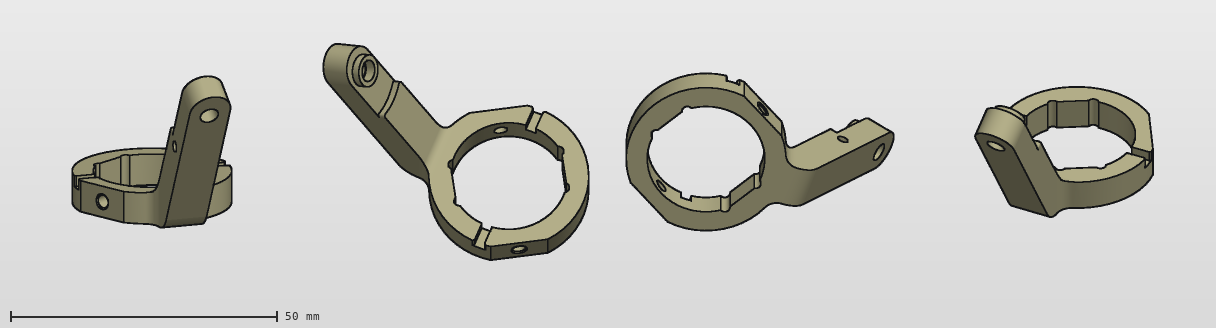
import cadquery as cq
import math

ring_diameter = 30.0
ring_radius = ring_diameter / 2
bore_radius = 11.0
ring_height = 6.1
outer_flat_distance = 14.0
outer_flat_angles = (120, 300)
bore_flat_distance = 10.5
bore_flat_angles = (30, 210)
relief_radius = 1.0
relief_distance = 9.95
relief_spacing = 7.6
slot_width = 2.05
slot_depth = 2.05
slot_mouth_chamfer = 0.3
screw_diameter = 2.5
screw_mouth_diameter = 3.0

arm_angle = 60
arm_width = 8.0
arm_root_thickness = 6.95
arm_tip_thickness = 5.5
side_fillet = 3.0
fold_fillet = 2.6
heel_fillet = 5.0
total_height = 33.45
total_length = 51.95

boss_diameter = 6.05
boss_height = 1.5
eye_from_tip = 5.0
counterbore_diameter = 4.0
counterbore_depth = 2.05
eye_diameter = 3.5
step_radius = 10.3
shoulder_corner_radius = 0.5
pin_diameter = 2.05
pin_depth = 2.05
pin_x = 25.85
pin_z = 18.35

lean = math.radians(arm_angle)
half_width = arm_width / 2
tip_x = total_length - ring_radius
tip_z = total_height - arm_tip_thickness * math.cos(lean)
heel_x = tip_x - tip_z / math.tan(lean)
fold_x = heel_x + ring_height / math.tan(lean) - arm_root_thickness / math.sin(lean)
arm_length = tip_z / math.sin(lean)
tip_arc_position = arm_length - half_width
eye_position = arm_length - eye_from_tip

arm_plane = cq.Plane(
    origin=(heel_x, 0, 0),
    xDir=(math.cos(lean), 0, math.sin(lean)),
    normal=(-math.sin(lean), 0, math.cos(lean)),
)


def arm_cylinder(diameter, bottom, top):
    """Cylinder on the eye axis between two heights above the arm's back."""
    return (
        cq.Workplane(arm_plane)
        .workplane(offset=bottom)
        .center(eye_position, 0)
        .circle(diameter / 2)
        .extrude(top - bottom)
    )


def plan_body():
    """Disc and arm strip, joined by tangent side fillets, as a tall prism."""
    fillet_y = half_width + side_fillet
    centre_distance = ring_radius + side_fillet
    fillet_x = math.sqrt(centre_distance**2 - fillet_y**2)
    touch_x = fillet_x * ring_radius / centre_distance
    touch_y = fillet_y * ring_radius / centre_distance
    bisector = (math.atan2(fillet_y, fillet_x) + math.pi / 2) / 2
    middle_x = fillet_x - side_fillet * math.cos(bisector)
    middle_y = fillet_y - side_fillet * math.sin(bisector)
    return (
        cq.Workplane("XY")
        .moveTo(tip_x, -half_width)
        .lineTo(fillet_x, -half_width)
        .threePointArc((middle_x, -middle_y), (touch_x, -touch_y))
        .threePointArc((-ring_radius, 0), (touch_x, touch_y))
        .threePointArc((middle_x, middle_y), (fillet_x, half_width))
        .lineTo(tip_x, half_width)
        .close()
        .extrude(total_height)
    )


def side_body():
    """Side outline of the ring and the leaning arm."""
    root_x = tip_x - arm_root_thickness * math.sin(lean)
    root_z = tip_z + arm_root_thickness * math.cos(lean)
    body = (
        cq.Workplane("XZ")
        .polyline([
            (-ring_radius, 0),
            (heel_x, 0),
            (tip_x, tip_z),
            (root_x, root_z),
            (fold_x, ring_height),
            (-ring_radius, ring_height),
        ])
        .close()
        .extrude(ring_radius, both=True)
    )
    at_heel = cq.selectors.NearestToPointSelector((heel_x, 0, 0))
    at_fold = cq.selectors.NearestToPointSelector((fold_x, 0, ring_height))
    return body.edges(at_heel).fillet(heel_fillet).edges(at_fold).fillet(fold_fillet)


def tip_envelope():
    """Rounded arm end, extended back past the whole ring."""
    back = 2 * total_length
    return (
        cq.Workplane(arm_plane)
        .center(tip_arc_position, 0)
        .moveTo(0, -half_width)
        .threePointArc((half_width, 0), (0, half_width))
        .lineTo(0, ring_radius)
        .lineTo(-back, ring_radius)
        .lineTo(-back, -ring_radius)
        .lineTo(0, -ring_radius)
        .close()
        .extrude(total_length, both=True)
    )


def shoulder_cut():
    """Relief of the inner face above a concave shoulder with rounded corners."""
    corner_y = half_width - shoulder_corner_radius
    centre_distance = step_radius + shoulder_corner_radius
    corner_x = -math.sqrt(centre_distance**2 - corner_y**2)
    touch_x = corner_x * step_radius / centre_distance
    touch_y = corner_y * step_radius / centre_distance
    bisector = (math.atan2(-corner_y, -corner_x) + math.pi / 2) / 2
    middle_x = corner_x + shoulder_corner_radius * math.cos(bisector)
    middle_y = corner_y + shoulder_corner_radius * math.sin(bisector)
    return (
        cq.Workplane(arm_plane)
        .workplane(offset=arm_tip_thickness)
        .center(eye_position, 0)
        .moveTo(corner_x, -half_width)
        .threePointArc((middle_x, -middle_y), (touch_x, -touch_y))
        .threePointArc((-step_radius, 0), (touch_x, touch_y))
        .threePointArc((middle_x, middle_y), (corner_x, half_width))
        .lineTo(step_radius, half_width)
        .lineTo(step_radius, -half_width)
        .close()
        .extrude(arm_root_thickness)
    )


def ring_bore():
    """Bore with two flats, each ending in round corner reliefs."""
    bore = cq.Workplane("XY").circle(bore_radius).extrude(ring_height)
    for angle in bore_flat_angles:
        land = (
            cq.Workplane("XY")
            .center(bore_flat_distance + bore_radius / 2, 0)
            .rect(bore_radius, 2 * bore_radius)
            .extrude(ring_height)
        )
        reliefs = (
            cq.Workplane("XY")
            .pushPoints([(relief_distance, side * relief_spacing / 2) for side in (-1, 1)])
            .circle(relief_radius)
            .extrude(ring_height)
        )
        bore = bore.cut(land.rotate((0, 0, 0), (0, 0, 1), angle))
        bore = bore.union(reliefs.rotate((0, 0, 0), (0, 0, 1), angle))
    return bore


def outer_flat(angle):
    """Block that trims a flat and drills its countersunk radial screw hole."""
    block = (
        cq.Workplane("XY")
        .center(outer_flat_distance + ring_radius / 2, 0)
        .rect(ring_radius, 2 * ring_radius)
        .extrude(ring_height)
    )
    countersink = (screw_mouth_diameter - screw_diameter) / 2
    hole_start = bore_radius / 2
    hole = (
        cq.Workplane("YZ", origin=(hole_start, 0, ring_height / 2))
        .circle(screw_diameter / 2)
        .extrude(outer_flat_distance - hole_start)
    )
    cone = (
        cq.Workplane("YZ", origin=(outer_flat_distance, 0, ring_height / 2))
        .circle(screw_mouth_diameter / 2)
        .extrude(-countersink, taper=45)
    )
    return block.union(hole).union(cone).rotate((0, 0, 0), (0, 0, 1), angle)


def cross_slot():
    """Slot across the top of the ring along Y, with chamfered outer mouths."""
    floor = cq.Workplane("XY", origin=(0, 0, ring_height - slot_depth))
    slot = floor.rect(slot_width, 2 * ring_radius).extrude(slot_depth)
    half_slot = slot_width / 2
    mouth_half = half_slot + slot_mouth_chamfer
    wall_end_y = math.sqrt(ring_radius**2 - mouth_half**2)
    for side in (-1, 1):
        mouth = (
            floor.polyline([
                (-half_slot, side * (wall_end_y - slot_mouth_chamfer)),
                (-mouth_half, side * wall_end_y),
                (-mouth_half, side * ring_radius),
                (mouth_half, side * ring_radius),
                (mouth_half, side * wall_end_y),
                (half_slot, side * (wall_end_y - slot_mouth_chamfer)),
            ])
            .close()
            .extrude(slot_depth)
        )
        slot = slot.union(mouth)
    return slot


def pin_hole():
    """Blind pin hole in the -Y side of the arm."""
    return (
        cq.Workplane("XZ", origin=(pin_x, -half_width, pin_z))
        .circle(pin_diameter / 2)
        .extrude(-pin_depth)
    )


body = side_body().intersect(plan_body()).intersect(tip_envelope())
body = body.cut(shoulder_cut())
body = body.cut(ring_bore()).cut(cross_slot()).cut(pin_hole())
for flat_angle in outer_flat_angles:
    body = body.cut(outer_flat(flat_angle))

boss_top = arm_tip_thickness + boss_height
body = body.union(arm_cylinder(boss_diameter, arm_tip_thickness, boss_top))
body = body.cut(arm_cylinder(counterbore_diameter, boss_top - counterbore_depth, boss_top))
result = body.cut(arm_cylinder(eye_diameter, 0, boss_top))